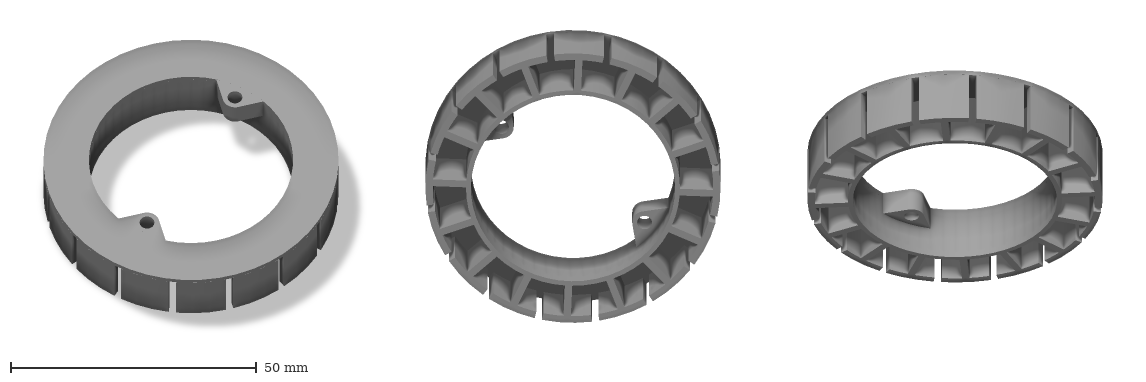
import cadquery as cq
import math

outer_radius = 60 / 2
bore_radius = 41.5 / 2
total_height = 11.6
disc_thickness = 1.0
stator_height = total_height - disc_thickness

pole_count = 16
pole_pitch = 360 / pole_count
sleeve_thickness = 1.0
sleeve_radius = bore_radius + sleeve_thickness
shoe_thickness = 1.5
shoe_inner_radius = outer_radius - shoe_thickness
slot_width = 1.5
tooth_width = 1.5

lug_distance = 18.0
lug_tip_radius = 2.5
lug_height = 5.0
lug_bottom = total_height - lug_height
screw_hole_diameter = 3.0


def tube(outer, inner, bottom, height):
    """Plain ring around the Z axis."""
    return cq.Workplane("XY").workplane(offset=bottom).circle(outer).circle(inner).extrude(height)


def radial_bar(inner, outer, width, angle):
    """Bar of stator height that runs outward from one radius to another."""
    return (
        cq.Workplane("XY")
        .center((inner + outer) / 2, 0)
        .rect(outer - inner, width)
        .extrude(stator_height)
        .rotate((0, 0, 0), (0, 0, 1), angle)
    )


def lug(side, root_radius, bottom, height):
    """Lug with a rounded tip and 45 degree flanks; side is +1 for +Y or -1 for -Y.

    The lug fills the space inside root_radius.
    """
    tangent = lug_tip_radius * math.sqrt(0.5)
    tangent_y = lug_distance - tangent
    root_half_width = tangent + root_radius - tangent_y
    profile = (
        cq.Workplane("XY")
        .workplane(offset=bottom)
        .moveTo(-tangent, side * tangent_y)
        .threePointArc((0, side * (lug_distance - lug_tip_radius)), (tangent, side * tangent_y))
        .lineTo(root_half_width, side * root_radius)
        .lineTo(-root_half_width, side * root_radius)
        .close()
        .extrude(height)
    )
    root = cq.Workplane("XY").workplane(offset=bottom).circle(root_radius).extrude(height)
    return profile.intersect(root)


def lug_cylinder(side, diameter, bottom, height):
    """Upright cylinder on the screw axis of one lug."""
    center_y = side * lug_distance
    return cq.Workplane("XY").workplane(offset=bottom).center(0, center_y).circle(diameter / 2).extrude(height)


def make_cover():
    """Flat cover disc with a tab on the -Y side that fits around the stator post."""
    disc = tube(outer_radius, bore_radius, stator_height, disc_thickness)
    tab = lug(-1, sleeve_radius, stator_height, disc_thickness)
    post_hole = lug_cylinder(-1, 2 * lug_tip_radius, stator_height, disc_thickness)
    return disc.union(tab).cut(post_hole)


def make_poles():
    """Sleeve carrying one tooth behind the middle of each pole shoe."""
    poles = tube(sleeve_radius, bore_radius, 0, stator_height)
    poles = poles.union(tube(outer_radius, shoe_inner_radius, 0, stator_height))

    tooth_start = sleeve_radius - sleeve_thickness / 2
    tooth_end = shoe_inner_radius + shoe_thickness / 2
    slot_start = shoe_inner_radius - shoe_thickness / 2
    slot_end = outer_radius + shoe_thickness / 2
    for index in range(pole_count):
        slot_angle = index * pole_pitch
        tooth_angle = slot_angle + pole_pitch / 2
        poles = poles.union(radial_bar(tooth_start, tooth_end, tooth_width, tooth_angle))
        poles = poles.cut(radial_bar(slot_start, slot_end, slot_width, slot_angle))
    return poles


def make_stator():
    """Pole ring with two screw lugs.

    The +Y lug stands flush with the top of the cover inside its bore. The -Y lug
    stops under the cover tab, and its round post fills the hole in the tab.
    """
    foot_height = stator_height - lug_bottom
    stator = make_poles()
    stator = stator.union(lug(1, sleeve_radius, lug_bottom, foot_height))
    stator = stator.union(lug(1, bore_radius, stator_height, disc_thickness))
    stator = stator.union(lug(-1, sleeve_radius, lug_bottom, foot_height))
    stator = stator.union(lug_cylinder(-1, 2 * lug_tip_radius, lug_bottom, lug_height))
    for side in (1, -1):
        stator = stator.cut(lug_cylinder(side, screw_hole_diameter, lug_bottom, lug_height))
    return stator


cover = make_cover()
stator = make_stator()

result = cq.Compound.makeCompound([cover.val(), stator.val()])